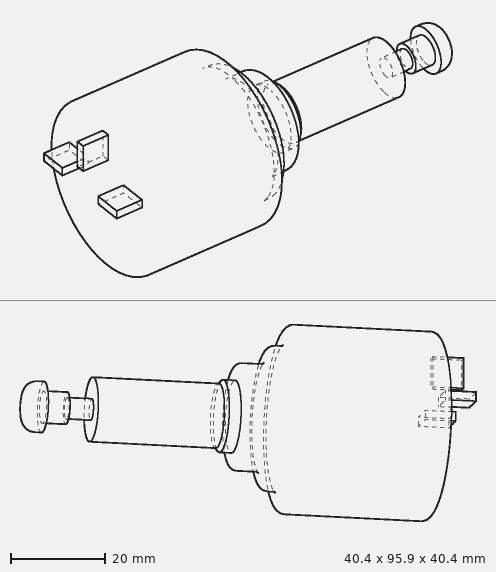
import cadquery as cq


can_radius = 20.2
can_length = 32.4
lower_step_radius = 15.5
lower_step_length = 4.0
upper_step_radius = 11.5
upper_step_length = 6.9
housing_round = 1.3

collar_radius = 7.8
collar_length = 3.45
tube_radius = 6.9
tube_length = 27.5
collar_chamfer = collar_radius - tube_radius

rod_radius = 2.3
rod_length = 5.4
neck_radius = 3.45
neck_length = 5.2
head_radius = 5.5
head_round = 2.8

terminal_length = 6.7
terminal_width = 6.6
terminal_thickness = 2.0
side_terminal_x = 9.7
side_terminal_z = 4.0
upright_terminal_z = 11.8

overall_length = 95.9
lower_step_end = can_length + lower_step_length
housing_end = lower_step_end + upper_step_length
collar_end = housing_end + collar_length
tube_end = collar_end + tube_length
rod_end = tube_end + rod_length
neck_end = rod_end + neck_length
plunger_end = overall_length - terminal_length
head_length = plunger_end - neck_end


def cylinder(radius, start, length):
    """Cylinder along +Y beginning at Y = start."""
    base = cq.Workplane("XZ", origin=(0, start, 0))
    return base.circle(radius).extrude(-length)


def make_housing():
    r = housing_round
    profile = (
        cq.Workplane("XY")
        .lineTo(can_radius - r, 0)
        .radiusArc((can_radius, r), -r)
        .lineTo(can_radius, can_length - r)
        .radiusArc((can_radius - r, can_length), -r)
        .lineTo(lower_step_radius + r, can_length)
        .radiusArc((lower_step_radius, can_length + r), r)
        .lineTo(lower_step_radius, lower_step_end - r)
        .radiusArc((lower_step_radius - r, lower_step_end), -r)
        .lineTo(upper_step_radius + r, lower_step_end)
        .radiusArc((upper_step_radius, lower_step_end + r), r)
        .lineTo(upper_step_radius, housing_end - r)
        .radiusArc((upper_step_radius - r, housing_end), -r)
        .lineTo(0, housing_end)
        .close()
    )
    return profile.revolve(360, (0, 0, 0), (0, 1, 0))


def make_bushing():
    collar = cylinder(collar_radius, housing_end, collar_length).faces(">Y").chamfer(collar_chamfer)
    tube = cylinder(tube_radius, collar_end, tube_length)
    return collar.union(tube)


def make_plunger():
    rod = cylinder(rod_radius, tube_end, rod_length)
    neck = cylinder(neck_radius, rod_end, neck_length)
    head = cylinder(head_radius, neck_end, head_length).faces(">Y").edges().fillet(head_round)
    return rod.union(neck).union(head)


def make_terminal(x, z, size_x, size_z):
    """Blade standing out from the terminal face toward -Y."""
    blade = cq.Workplane("XY").box(size_x, terminal_length, size_z)
    return blade.translate((x, -terminal_length / 2, z))


housing = make_housing()
bushing = make_bushing()
plunger = make_plunger()

terminal_layout = [
    (-side_terminal_x, side_terminal_z, terminal_width, terminal_thickness),
    (side_terminal_x, side_terminal_z, terminal_width, terminal_thickness),
    (0, upright_terminal_z, terminal_thickness, terminal_width),
]
terminals = [make_terminal(*placement).val() for placement in terminal_layout]

result = cq.Compound.makeCompound([housing.val(), bushing.val(), plunger.val(), *terminals])